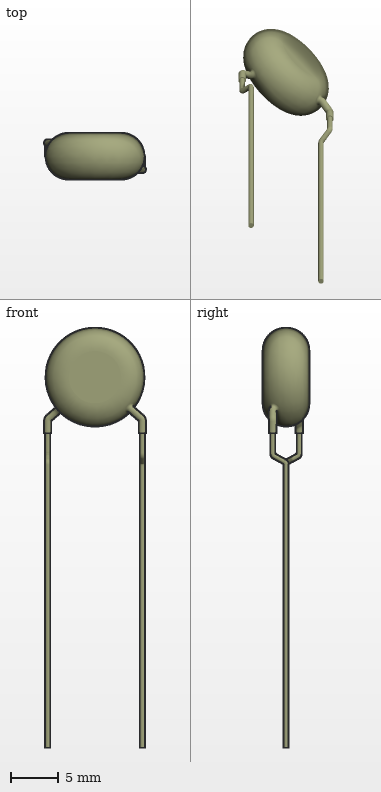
import cadquery as cq
import math

disc_radius = 5.25
disc_thickness = 5.0
flat_radius = disc_radius - disc_thickness / 2

overall_width = 10.8
overall_height = 44.5
wire_diameter = 0.6
wire_bend_radius = 0.4
sleeve_diameter = 0.8
sleeve_bend_radius = 0.45
root_fillet = 0.22
lead_x = (overall_width - sleeve_diameter) / 2
lead_spacing_y = 2.8
lead_offset_y = lead_spacing_y / 2
lead_end_z = disc_radius - overall_height
crimp_top_z = -8.28
crimp_bottom_z = -9.05
sleeve_end_z = -5.9
shoulder_z = -4.45
exit_x = 3.83
exit_z = -3.43
root_x = 2.85
root_z = -2.4


def make_disc():
    """Revolve a flat-sided profile with a half-round rim about the Y axis."""
    half = disc_thickness / 2
    return (
        cq.Workplane("YZ")
        .moveTo(-half, 0)
        .lineTo(-half, flat_radius)
        .threePointArc((0, disc_radius), (half, flat_radius))
        .lineTo(half, 0)
        .close()
        .revolve(360, (0, 0, 0), (1, 0, 0))
    )


def make_tube(points, diameter, bend_radius):
    """Sweep a round section along straight runs joined by tangent bends."""
    corners = [cq.Vector(*point) for point in points]
    start = corners[0]
    edges = []
    for before, corner, after in zip(corners, corners[1:], corners[2:]):
        back = (before - corner).normalized()
        ahead = (after - corner).normalized()
        half_angle = back.getAngle(ahead) / 2
        setback = bend_radius / math.tan(half_angle)
        bend_start = corner + back * setback
        bend_end = corner + ahead * setback
        bisector = (back + ahead).normalized()
        bend_middle = corner + bisector * (bend_radius / math.sin(half_angle) - bend_radius)
        edges.append(cq.Edge.makeLine(start, bend_start))
        edges.append(cq.Edge.makeThreePointArc(bend_start, bend_middle, bend_end))
        start = bend_end
    edges.append(cq.Edge.makeLine(start, corners[-1]))
    path = cq.Wire.assembleEdges(edges)
    section = cq.Plane(origin=corners[0], normal=corners[1] - corners[0])
    return cq.Workplane(section).circle(diameter / 2).sweep(cq.Workplane(path))


def make_lead():
    """Lead on the +X side, leaving the disc towards -Y and stepping back to y = 0."""
    sleeve = make_tube(
        [
            (root_x, 0, root_z),
            (exit_x, -lead_offset_y, exit_z),
            (lead_x, -lead_offset_y, shoulder_z),
            (lead_x, -lead_offset_y, sleeve_end_z),
        ],
        sleeve_diameter,
        sleeve_bend_radius,
    )
    wire = make_tube(
        [
            (lead_x, -lead_offset_y, sleeve_end_z),
            (lead_x, -lead_offset_y, crimp_top_z),
            (lead_x, 0, crimp_bottom_z),
            (lead_x, 0, lead_end_z),
        ],
        wire_diameter,
        wire_bend_radius,
    )
    return sleeve.union(wire)


right_lead = make_lead()
left_lead = right_lead.rotate((0, 0, 0), (0, 0, 1), 180)
joined = make_disc().union(right_lead, clean=False).union(left_lead, clean=False)
result = joined.edges("%BSPLINE").fillet(root_fillet)